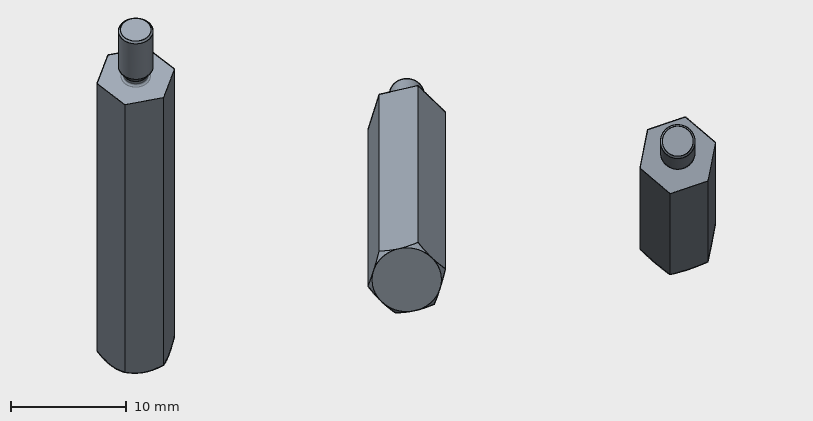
import cadquery as cq
import math

across_flats = 6.0
across_corners = across_flats / math.cos(math.radians(30))
body_length = 35.0
foot_diameter = across_flats
foot_chamfer_angle = 45.0

stud_diameter = 3.0
stud_length = 6.0
tip_diameter = 2.66
tip_chamfer_angle = 45.0

neck_diameter = 2.13
undercut_length = 1.25
taper_angle = 30.0
root_fillet = 0.2


def make_body():
    """Hexagonal bar with its corners turned to a cone at the foot."""
    bar = cq.Workplane("XY").polygon(6, across_corners).extrude(body_length)
    foot_radius = foot_diameter / 2
    corner_radius = across_corners / 2
    cone_height = (corner_radius - foot_radius) * math.tan(math.radians(foot_chamfer_angle))
    envelope = (
        cq.Workplane("XZ")
        .moveTo(0, 0)
        .lineTo(foot_radius, 0)
        .lineTo(corner_radius, cone_height)
        .lineTo(corner_radius, body_length)
        .lineTo(0, body_length)
        .close()
        .revolve(360, (0, 0, 0), (0, 1, 0))
    )
    return bar.intersect(envelope)


def make_stud():
    """Round stud with a chamfered tip and an undercut neck at its root."""
    stud_radius = stud_diameter / 2
    tip_radius = tip_diameter / 2
    neck_radius = neck_diameter / 2
    tip_z = body_length + stud_length
    tip_chamfer = (stud_radius - tip_radius) * math.tan(math.radians(tip_chamfer_angle))
    undercut_top = body_length + undercut_length
    taper_length = (stud_radius - neck_radius) / math.tan(math.radians(taper_angle))
    diagonal = root_fillet * math.sqrt(0.5)
    fillet_middle = (
        neck_radius + root_fillet - diagonal,
        body_length + root_fillet - diagonal,
    )
    return (
        cq.Workplane("XZ")
        .moveTo(0, body_length)
        .lineTo(neck_radius + root_fillet, body_length)
        .threePointArc(fillet_middle, (neck_radius, body_length + root_fillet))
        .lineTo(neck_radius, undercut_top - taper_length)
        .lineTo(stud_radius, undercut_top)
        .lineTo(stud_radius, tip_z - tip_chamfer)
        .lineTo(tip_radius, tip_z)
        .lineTo(0, tip_z)
        .close()
        .revolve(360, (0, 0, 0), (0, 1, 0))
    )


result = make_body().union(make_stud())